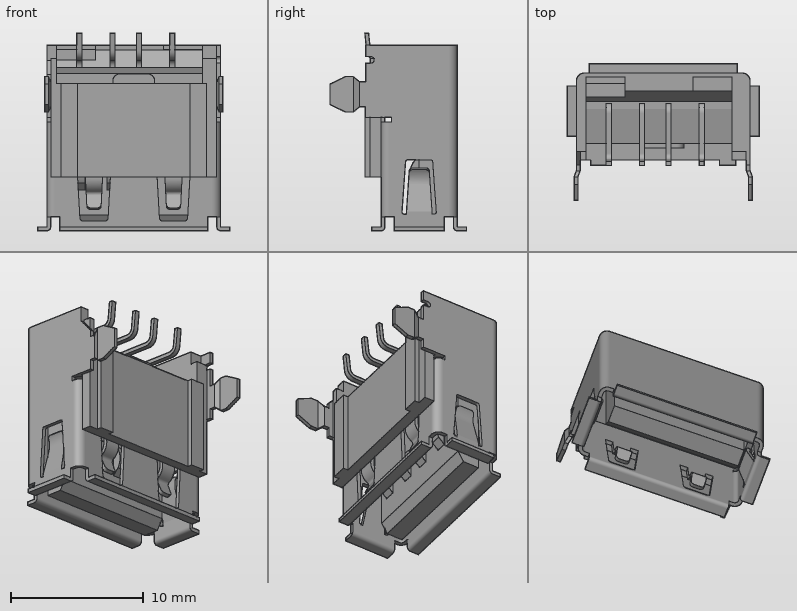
import cadquery as cq
import math


SHELL_WIDTH = 13.12
SHELL_DEPTH = 5.76
SHELL_HEIGHT = 14.02
SHEET = 0.3
CORNER_RADIUS = 0.62
HALF_WIDTH = SHELL_WIDTH / 2
HALF_DEPTH = SHELL_DEPTH / 2
INNER_HALF_WIDTH = HALF_WIDTH - SHEET
INNER_HALF_DEPTH = HALF_DEPTH - SHEET
CAVITY_HEIGHT = 9.0

FLANGE_SPAN_X = 14.5
FLANGE_SPAN_Y = 7.16
LONG_FLANGE_LENGTH = 11.2
SHORT_FLANGE_LENGTH = 3.8
CORNER_NOTCH_HEIGHT = 1.05
BEND_RADIUS = SHEET

CHEEK_FRONT = -4.05
CHEEK_BOTTOM = 8.57
RELIEF_BOTTOM = 8.22
RELIEF_BACK = -2.1
CHAMFER_BACK = -3.06
CHAMFER_TOP = 12.85
CHAMFER_BOTTOM = 11.78
SLOT_BOTTOM = 12.65
SLOT_TOP = 13.15
SLOT_END = -3.4

OVERALL_DEPTH = 10.32
LOCK_CENTRE_Z = 10.3
LOCK_TIP = FLANGE_SPAN_Y / 2 - OVERALL_DEPTH
LOCK_OFFSET = 0.17
LOCK_JOG_START = -4.49
LOCK_JOG_END = -4.95
LOCK_NECK_END = -4.5
LOCK_WIDE_START = -4.98
LOCK_WIDE_END = -5.55
LOCK_NECK_HALF = 0.95
LOCK_WIDE_HALF = 1.35
LOCK_TIP_HALF = 0.77

INSERT_FRONT = -3.7
INSERT_BOTTOM = 4.05
INSERT_SHOULDER = 13.02
ARM_FRONT = -3.06
POCKET_LEFT = -5.82
POCKET_RIGHT = 5.19
POCKET_BACK = 1.5
SLOPE_TOP = 13.66
SLOPE_FOOT = 0.73
FLOOR_BEND = 0.15
FLOOR_BACK_HEIGHT = 12.33
FLOOR_FRONT_HEIGHT = 11.87
FLOOR_FRONT = -2.46
LEDGE_HEIGHT = 11.13
RAIL_INNER = 4.23
RAIL_OUTER = 5.48
RAIL_FRONT = -4.1
KEY_LENGTH = 3.14
KEY_FRONT = -2.8
KEY_TOP = 11.83
KEY_RADIUS = 0.5

RECESS_LENGTH = 2.95
RECESS_BACK = 2.59
RECESS_FLOOR = 13.7
DEEP_RECESS_BACK = 2.08
DEEP_RECESS_FLOOR = 12.9

TONGUE_HALF_WIDTH = 5.2
TONGUE_BACK = 1.84
TONGUE_END = 0.4
TONGUE_CHAMFER_DEPTH = 0.5
TONGUE_CHAMFER_HEIGHT = 0.8
BULGE_WIDTH = 0.84
BULGE_BOTTOM = 3.1
BULGE_TOP = 5.6
BULGE_LIP = (-0.5, 3.6)
BULGE_CREST = (-0.7, 4.4)

PIN_POSITIONS = (-4.1, -1.6, 0.4, 2.9)
PIN_WIDTH = 0.4
PIN_THICKNESS = 0.3
PIN_BACK = 0.58
PIN_FOOT = 12.0
PIN_RUN_TOP = 13.16
PIN_TIP = 14.91
PIN_TIP_FRONT = -4.11
PIN_LEAN = math.radians(6)
PIN_BEND_RADIUS = 0.75

FRONT_SPRING_X = 3.0
FRONT_WINDOW_BOTTOM = 0.74
FRONT_WINDOW_TOP = 5.5
FRONT_WINDOW_BOTTOM_HALF = 1.05
FRONT_WINDOW_TOP_HALF = 1.32
FRONT_WINDOW_RADIUS = 0.25
FRONT_SPRING_TIP = 1.5
FRONT_SPRING_LINE = ((0.2, 1.73), (0.7, 2.85), (0, 3.3), (0, FRONT_WINDOW_TOP))
FRONT_SPRING_BEND_RADII = (0.25, 1.1)
FRONT_SPRING_TIP_HALF = 0.52
FRONT_SPRING_ROOT_HALF = 0.72
FRONT_SPRING_TIP_RADIUS = 0.3

SIDE_WINDOW_BOTTOM = 1.27
SIDE_WINDOW_TOP = 5.35
SIDE_WINDOW_BOTTOM_HALF = 1.3
SIDE_WINDOW_TOP_HALF = 1.01
SIDE_WINDOW_RADIUS = 0.15
SIDE_SPRING_TIP = 4.85
SIDE_SPRING_LINE = ((0, SIDE_WINDOW_BOTTOM), (0, 1.45), (0.6, 4.0), (0.27, 4.62))
SIDE_SPRING_BEND_RADIUS = 1.35
SIDE_SPRING_TIP_HALF = 0.74
SIDE_SPRING_ROOT_HALF = 0.98
SIDE_SPRING_TIP_RADIUS = 0.3

OVERCUT = 1.0
TOLERANCE = 0.01
SIDES = (-1, 1)


def block(x_range, y_range, z_range):
    """Box between two limits on each axis."""
    (x0, x1), (y0, y1), (z0, z1) = x_range, y_range, z_range
    box = cq.Workplane("XY").box(x1 - x0, y1 - y0, z1 - z0, centered=False)
    return box.translate((x0, y0, z0))


def yz_prism(points, x_start, x_end):
    """Outline in (Y, Z) extruded along X."""
    return cq.Workplane("YZ", origin=(x_start, 0, 0)).polyline(points).close().extrude(x_end - x_start)


def xz_prism(points, y_start, y_end):
    """Outline in (X, Z) extruded along Y."""
    return cq.Workplane("XZ", origin=(0, y_start, 0)).polyline(points).close().extrude(y_start - y_end)


def trapezoid(centre, bottom, bottom_half, top, top_half):
    """Symmetric trapezoid in a plane whose second coordinate is Z."""
    return [
        (centre - bottom_half, bottom),
        (centre + bottom_half, bottom),
        (centre + top_half, top),
        (centre - top_half, top),
    ]


def mirrored(half):
    """Shape together with its mirror image across X = 0."""
    return half.union(half.mirror("YZ"))


def shell_tube():
    outer = cq.Workplane("XY").rect(SHELL_WIDTH, SHELL_DEPTH).extrude(SHELL_HEIGHT)
    outer = outer.edges("|Z").fillet(CORNER_RADIUS)
    cavity = cq.Workplane("XY").rect(2 * INNER_HALF_WIDTH, 2 * INNER_HALF_DEPTH).extrude(CAVITY_HEIGHT)
    cavity = cavity.edges("|Z").fillet(CORNER_RADIUS - SHEET)
    tube = outer.cut(cavity)

    for x_side in SIDES:
        for y_side in SIDES:
            x_limits = sorted((x_side * LONG_FLANGE_LENGTH / 2, x_side * SHELL_WIDTH))
            y_limits = sorted((y_side * SHORT_FLANGE_LENGTH / 2, y_side * SHELL_DEPTH))
            tube = tube.cut(block(x_limits, y_limits, (0, CORNER_NOTCH_HEIGHT)))
    return tube


def flanges():
    long_half = LONG_FLANGE_LENGTH / 2
    short_half = SHORT_FLANGE_LENGTH / 2
    side = block((HALF_WIDTH - SHEET / 2, FLANGE_SPAN_X / 2), (-short_half, short_half), (0, SHEET))
    front = block((-long_half, long_half), (-FLANGE_SPAN_Y / 2, SHEET / 2 - HALF_DEPTH), (0, SHEET))
    return mirrored(side).union(front).union(front.mirror("XZ"))


def round_flange_bends(flanged_tube):
    """Round the edges where the inner wall faces meet the mating end."""
    reach_x = INNER_HALF_WIDTH + TOLERANCE
    reach_y = INNER_HALF_DEPTH + TOLERANCE
    inner_edges = cq.selectors.BoxSelector(
        (-reach_x, -reach_y, -TOLERANCE), (reach_x, reach_y, TOLERANCE), boundingbox=True
    )
    return flanged_tube.edges(inner_edges).fillet(BEND_RADIUS)


def insert():
    """Plastic body in front of and above the cavity, with the sloped pocket open at its top."""
    front_plate = block(
        (-INNER_HALF_WIDTH, INNER_HALF_WIDTH), (INSERT_FRONT, -HALF_DEPTH), (INSERT_BOTTOM, INSERT_SHOULDER)
    )
    core = block((-INNER_HALF_WIDTH, INNER_HALF_WIDTH), (ARM_FRONT, 0), (CAVITY_HEIGHT, SHELL_HEIGHT))
    rail = block((RAIL_INNER, RAIL_OUTER), (RAIL_FRONT, INSERT_FRONT), (INSERT_BOTTOM, LEDGE_HEIGHT))
    return front_plate.union(core).union(mirrored(rail))


def pocket():
    above = SHELL_HEIGHT + OVERCUT
    in_front = RAIL_FRONT - OVERCUT
    outline = [
        (POCKET_BACK, above),
        (POCKET_BACK, SLOPE_TOP),
        (SLOPE_FOOT, FLOOR_BACK_HEIGHT),
        (FLOOR_BEND, FLOOR_BACK_HEIGHT),
        (FLOOR_FRONT, FLOOR_FRONT_HEIGHT),
        (FLOOR_FRONT, LEDGE_HEIGHT),
        (in_front, LEDGE_HEIGHT),
        (in_front, above),
    ]
    return yz_prism(outline, POCKET_LEFT, POCKET_RIGHT)


def rim_recesses():
    """A shallow recess at each end of the pocket, the left one with a deeper step."""
    above = SHELL_HEIGHT + OVERCUT
    left = (POCKET_LEFT, POCKET_LEFT + RECESS_LENGTH)
    right = (POCKET_RIGHT - RECESS_LENGTH, POCKET_RIGHT)
    cuts = block(left, (SLOPE_FOOT, RECESS_BACK), (RECESS_FLOOR, above))
    cuts = cuts.union(block(right, (SLOPE_FOOT, RECESS_BACK), (RECESS_FLOOR, above)))
    return cuts.union(block(left, (SLOPE_FOOT, DEEP_RECESS_BACK), (DEEP_RECESS_FLOOR, above)))


def key():
    """Round-shouldered bar on the ledge in front of the pocket floor."""
    bar = block((-KEY_LENGTH / 2, KEY_LENGTH / 2), (KEY_FRONT, FLOOR_FRONT), (LEDGE_HEIGHT, KEY_TOP))
    return bar.edges("|Y and >Z").fillet(KEY_RADIUS)


def cheek():
    """Right-hand side wall in its upper part."""
    return block((INNER_HALF_WIDTH, HALF_WIDTH), (CHEEK_FRONT, 0), (CHEEK_BOTTOM, SHELL_HEIGHT))


def left_cheek_chamfer():
    above = SHELL_HEIGHT + OVERCUT
    in_front = CHEEK_FRONT - OVERCUT
    outline = [
        (CHAMFER_BACK, above),
        (CHAMFER_BACK, CHAMFER_TOP),
        (CHEEK_FRONT, CHAMFER_BOTTOM),
        (in_front, CHAMFER_BOTTOM),
        (in_front, above),
    ]
    return yz_prism(outline, -HALF_WIDTH - OVERCUT, -INNER_HALF_WIDTH)


def right_cheek_slot():
    """Round-ended slot in the front edge of the right-hand side wall."""
    radius = (SLOT_TOP - SLOT_BOTTOM) / 2
    centre_y = SLOT_END - radius
    x_limits = (INNER_HALF_WIDTH, HALF_WIDTH)
    slot = block(x_limits, (CHEEK_FRONT - OVERCUT, centre_y), (SLOT_BOTTOM, SLOT_TOP))
    round_end = cq.Workplane("YZ", origin=(INNER_HALF_WIDTH, centre_y, SLOT_BOTTOM + radius))
    return slot.union(round_end.circle(radius).extrude(SHEET))


def corner_relief():
    """Gap above the right-hand front corner of the tube, below the side wall."""
    inner_x = HALF_WIDTH - CORNER_RADIUS
    return block((inner_x, HALF_WIDTH), (-HALF_DEPTH, RELIEF_BACK), (RELIEF_BOTTOM, CHEEK_BOTTOM))


def board_lock():
    """Right-hand leaf: its profile in (Y, Z) limits a strip that jogs outward."""
    upper = [
        (CHEEK_FRONT + SHEET, LOCK_NECK_HALF),
        (LOCK_NECK_END, LOCK_NECK_HALF),
        (LOCK_WIDE_START, LOCK_WIDE_HALF),
        (LOCK_WIDE_END, LOCK_WIDE_HALF),
        (LOCK_TIP, LOCK_TIP_HALF),
    ]
    profile = [(y, LOCK_CENTRE_Z + z) for y, z in upper]
    profile += [(y, LOCK_CENTRE_Z - z) for y, z in reversed(upper)]
    leaf = yz_prism(profile, INNER_HALF_WIDTH, HALF_WIDTH + LOCK_OFFSET)
    strip = [
        (HALF_WIDTH, CHEEK_FRONT + SHEET),
        (HALF_WIDTH, LOCK_JOG_START),
        (HALF_WIDTH + LOCK_OFFSET, LOCK_JOG_END),
        (HALF_WIDTH + LOCK_OFFSET, LOCK_TIP),
    ]
    strip += [(x - SHEET, y) for x, y in reversed(strip)]
    return leaf.intersect(cq.Workplane("XY").polyline(strip).close().extrude(SHELL_HEIGHT))


def tongue():
    outline = [
        (0, CAVITY_HEIGHT),
        (0, TONGUE_END + TONGUE_CHAMFER_HEIGHT),
        (TONGUE_CHAMFER_DEPTH, TONGUE_END),
        (TONGUE_BACK, TONGUE_END),
        (TONGUE_BACK, CAVITY_HEIGHT),
    ]
    return yz_prism(outline, -TONGUE_HALF_WIDTH, TONGUE_HALF_WIDTH)


def contact_bulge(x_centre):
    profile = cq.Workplane("YZ", origin=(x_centre - BULGE_WIDTH / 2, 0, 0)).moveTo(0, BULGE_BOTTOM)
    profile = profile.lineTo(*BULGE_LIP).threePointArc(BULGE_CREST, (0, BULGE_TOP)).close()
    return profile.extrude(BULGE_WIDTH)


def pin(x_centre):
    """Bent strip: up from the floor, forward, then up with a slight lean to the tip."""
    run_bottom = PIN_RUN_TOP - PIN_THICKNESS
    width_across = PIN_THICKNESS / math.cos(PIN_LEAN)
    tip_back = PIN_TIP_FRONT + width_across
    bottom_front = PIN_TIP_FRONT + (PIN_TIP - run_bottom) * math.tan(PIN_LEAN)
    top_back = tip_back + (PIN_TIP - PIN_RUN_TOP) * math.tan(PIN_LEAN)
    outline = [
        (PIN_BACK, PIN_FOOT),
        (PIN_BACK, PIN_RUN_TOP),
        (top_back, PIN_RUN_TOP),
        (tip_back, PIN_TIP),
        (PIN_TIP_FRONT, PIN_TIP),
        (bottom_front, run_bottom),
        (PIN_BACK - PIN_THICKNESS, run_bottom),
        (PIN_BACK - PIN_THICKNESS, PIN_FOOT),
    ]
    bends = [
        (outline[1], PIN_BEND_RADIUS),
        (outline[6], PIN_BEND_RADIUS - PIN_THICKNESS),
        (outline[5], PIN_BEND_RADIUS),
        (outline[2], PIN_BEND_RADIUS - PIN_THICKNESS),
    ]
    strip = yz_prism(outline, x_centre - PIN_WIDTH / 2, x_centre + PIN_WIDTH / 2)
    for (y, z), radius in bends:
        strip = strip.edges(cq.NearestToPointSelector((x_centre, y, z))).fillet(radius)
    return strip


def inner_face(face):
    """Points one sheet deeper than a rising line of outer face points (depth, height)."""
    headings = [math.atan2(d1 - d0, z1 - z0) for (d0, z0), (d1, z1) in zip(face, face[1:])]
    before = headings[:1] + headings
    after = headings + headings[-1:]
    inner = []
    for (depth, z), heading_in, heading_out in zip(face, before, after):
        heading = (heading_in + heading_out) / 2
        mitre = SHEET / math.cos((heading_out - heading_in) / 2)
        inner.append((depth + mitre * math.cos(heading), z - mitre * math.sin(heading)))
    return inner


def spring_leaf(outer, bends, taper, tip, tip_radius):
    """Tapered spring rising along Z, its depth along Y, centred on X = 0.

    Each bend is a corner number with the radii of its outer and inner faces.
    The tip is the number of the point at the free end, where both corners are rounded.
    """
    inner = inner_face(outer)
    taper_left, taper_right = min(taper)[0], max(taper)[0]
    leaf = yz_prism(list(outer) + inner[::-1], taper_left, taper_right)
    for corner, outer_radius, inner_radius in bends:
        for (y, z), radius in ((outer[corner], outer_radius), (inner[corner], inner_radius)):
            leaf = leaf.edges(cq.NearestToPointSelector((0, y, z))).fillet(radius)
    leaf = leaf.intersect(xz_prism(taper, SHELL_DEPTH, -SHELL_DEPTH))
    tip_y = (outer[tip][0] + inner[tip][0]) / 2
    tip_z = (outer[tip][1] + inner[tip][1]) / 2
    for x in (taper_left, taper_right):
        leaf = leaf.edges(cq.NearestToPointSelector((x, tip_y, tip_z))).fillet(tip_radius)
    return leaf


def front_window(x_centre):
    outline = trapezoid(
        x_centre, FRONT_WINDOW_BOTTOM, FRONT_WINDOW_BOTTOM_HALF, FRONT_WINDOW_TOP, FRONT_WINDOW_TOP_HALF
    )
    window = xz_prism(outline, -INNER_HALF_DEPTH, -HALF_DEPTH)
    return window.edges("|Y and <Z").fillet(FRONT_WINDOW_RADIUS)


def front_spring(x_centre):
    tip_bend, root_bend = FRONT_SPRING_BEND_RADII
    bends = [(1, tip_bend, tip_bend + SHEET), (2, root_bend, root_bend - SHEET)]
    taper = trapezoid(0, FRONT_SPRING_TIP, FRONT_SPRING_TIP_HALF, FRONT_WINDOW_TOP, FRONT_SPRING_ROOT_HALF)
    leaf = spring_leaf(FRONT_SPRING_LINE, bends, taper, 0, FRONT_SPRING_TIP_RADIUS)
    return leaf.translate((x_centre, -HALF_DEPTH, 0))


def side_window():
    outline = trapezoid(0, SIDE_WINDOW_BOTTOM, SIDE_WINDOW_BOTTOM_HALF, SIDE_WINDOW_TOP, SIDE_WINDOW_TOP_HALF)
    window = yz_prism(outline, INNER_HALF_WIDTH, HALF_WIDTH)
    return window.edges("|X").fillet(SIDE_WINDOW_RADIUS)


def side_spring():
    """Right-hand spring with the strip of wall that carries its root."""
    bends = [(2, SIDE_SPRING_BEND_RADIUS, SIDE_SPRING_BEND_RADIUS + SHEET)]
    taper = trapezoid(0, SIDE_WINDOW_BOTTOM, SIDE_SPRING_ROOT_HALF, SIDE_SPRING_TIP, SIDE_SPRING_TIP_HALF)
    leaf = spring_leaf(SIDE_SPRING_LINE, bends, taper, -1, SIDE_SPRING_TIP_RADIUS)
    return leaf.rotate((0, 0, 0), (0, 0, 1), 90).translate((HALF_WIDTH, 0, 0))


shell = round_flange_bends(shell_tube().union(flanges()))
for spring_x in (-FRONT_SPRING_X, FRONT_SPRING_X):
    shell = shell.cut(front_window(spring_x)).union(front_spring(spring_x))
shell = shell.cut(mirrored(side_window())).union(mirrored(side_spring()))
shell = shell.cut(mirrored(corner_relief()))

body = shell.union(insert()).union(mirrored(cheek().union(board_lock())))
body = body.cut(pocket()).cut(rim_recesses()).cut(left_cheek_chamfer()).cut(right_cheek_slot())
body = body.union(key()).union(tongue())
for pin_x in PIN_POSITIONS:
    body = body.union(pin(pin_x)).union(contact_bulge(pin_x))

result = body